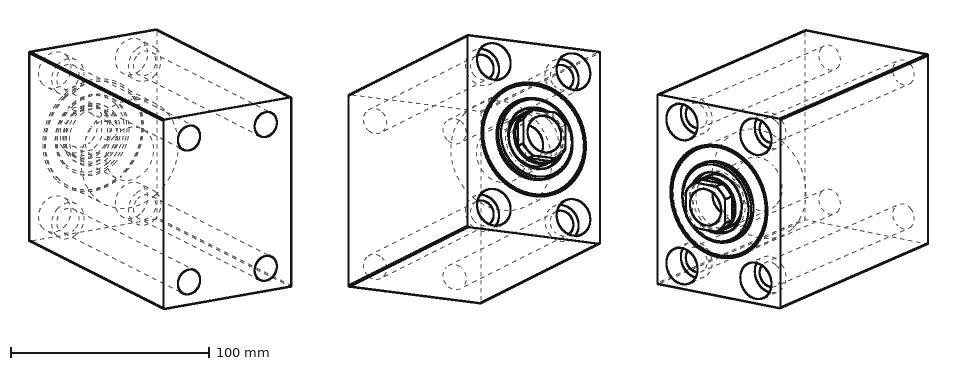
import cadquery as cq
import math

OVERALL_LENGTH = 145.0
BLOCK_WIDTH = 75.0
BLOCK_HEIGHT = 100.0
PROTRUSION = 12.0
EDGE_CHAMFER = 0.51

BOLT_SPACING_Y = 45.0
BOLT_SPACING_Z = 76.0
BOLT_DIAMETER = 13.0
COUNTERBORE_DIAMETER = 19.0
COUNTERBORE_DEPTH = 13.0

GLAND_DIAMETER = 57.0
GLAND_DEPTH = 36.2
BORE_CHAMFER = 1.0
RIM_DIAMETER = 42.0
RIM_HEIGHT = 3.0
RIM_CHAMFER = 1.0
SEAL_RECESS_DIAMETER = 31.9
SEAL_RECESS_DEPTH = 3.0

ROD_DIAMETER = 28.0
ROD_CHAMFER = 0.51
TIP_DIAMETER = ROD_DIAMETER - 2 * ROD_CHAMFER
TIP_LENGTH = 6.0
ACROSS_FLATS = 23.9
ROD_HOLE_DIAMETER = 19.0
ROD_HOLE_DEPTH = 20.3
DRILL_POINT_ANGLE = 118.0
DRILL_POINT_HEIGHT = ROD_HOLE_DIAMETER / 2 / math.tan(math.radians(DRILL_POINT_ANGLE / 2))

TIP_X = 0.0
COLLAR_X = TIP_X + TIP_LENGTH
FRONT_X = TIP_X + PROTRUSION
RIM_X = FRONT_X - RIM_HEIGHT
GLAND_BACK_X = FRONT_X + GLAND_DEPTH
BLOCK_LENGTH = OVERALL_LENGTH - PROTRUSION


def cylinder(diameter, start_x, length):
    """Cylinder on the X axis running from start_x towards +X."""
    return cq.Workplane("YZ", origin=(start_x, 0, 0)).circle(diameter / 2).extrude(length)


def revolve_about_x(profile):
    """Solid of revolution about the X axis from (x, radius) points."""
    return cq.Workplane("XY").polyline(profile).close().revolve(360, (0, 0, 0), (1, 0, 0))


def bolt_cylinders(diameter, length):
    """Four cylinders at the bolt places, running back from the housing front face."""
    return (
        cq.Workplane("YZ", origin=(FRONT_X, 0, 0))
        .rarray(BOLT_SPACING_Y, BOLT_SPACING_Z, 2, 2)
        .circle(diameter / 2)
        .extrude(length)
    )


def make_housing():
    block = (
        cq.Workplane("XY")
        .box(BLOCK_LENGTH, BLOCK_WIDTH, BLOCK_HEIGHT, centered=(False, True, True))
        .translate((FRONT_X, 0, 0))
        .edges("|X")
        .chamfer(EDGE_CHAMFER)
    )
    block = block.cut(bolt_cylinders(BOLT_DIAMETER, BLOCK_LENGTH))
    block = block.cut(bolt_cylinders(COUNTERBORE_DIAMETER, COUNTERBORE_DEPTH))

    bore_radius = GLAND_DIAMETER / 2
    bore = revolve_about_x([
        (FRONT_X, 0),
        (FRONT_X, bore_radius + BORE_CHAMFER),
        (FRONT_X + BORE_CHAMFER, bore_radius),
        (GLAND_BACK_X, bore_radius),
        (GLAND_BACK_X, 0),
    ])
    return block.cut(bore)


def make_gland():
    body = cylinder(GLAND_DIAMETER, FRONT_X, GLAND_DEPTH)
    rim = cylinder(RIM_DIAMETER, RIM_X, RIM_HEIGHT).faces("<X").chamfer(RIM_CHAMFER)
    seal_recess = cylinder(SEAL_RECESS_DIAMETER, RIM_X, SEAL_RECESS_DEPTH)
    rod_bore = cylinder(ROD_DIAMETER, RIM_X, GLAND_BACK_X - RIM_X)
    return body.union(rim).cut(seal_recess).cut(rod_bore)


def make_rod():
    shaft = cylinder(ROD_DIAMETER, COLLAR_X, GLAND_BACK_X - COLLAR_X).faces("<X").chamfer(ROD_CHAMFER)

    flats = cq.Workplane("YZ", origin=(TIP_X, 0, 0)).rect(ACROSS_FLATS, ACROSS_FLATS).extrude(TIP_LENGTH)
    tip = cylinder(TIP_DIAMETER, TIP_X, TIP_LENGTH).intersect(flats)

    hole_radius = ROD_HOLE_DIAMETER / 2
    cone_x = TIP_X + ROD_HOLE_DEPTH
    hole = revolve_about_x([
        (TIP_X, 0),
        (TIP_X, hole_radius),
        (cone_x, hole_radius),
        (cone_x + DRILL_POINT_HEIGHT, 0),
    ])
    return shaft.union(tip).cut(hole)


housing = make_housing()
gland = make_gland()
rod = make_rod()

result = cq.Compound.makeCompound([housing.val(), gland.val(), rod.val()])